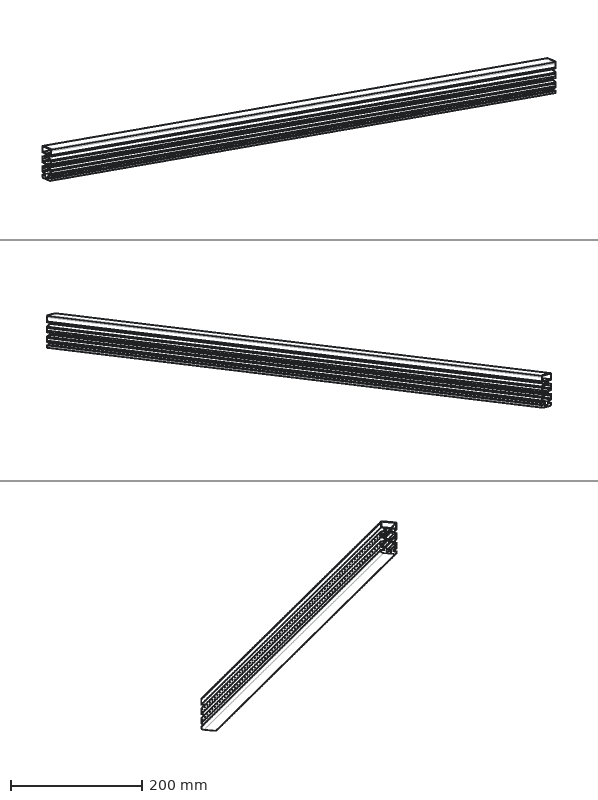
import cadquery as cq

LENGTH = 914.0
WIDTH = 26.0
HEIGHT = 51.0
HALF_WIDTH = WIDTH / 2
TOP = HEIGHT / 2
BOTTOM = -HEIGHT / 2

WALL = 1.4
NECK_WALL = 1.0
BOTTOM_WALL = 3.0
TOP_ROUND = 3.0
BOTTOM_ROUND = 4.0

GROOVE_FLOOR_X = 5.0
SHALLOW_GROOVE_FLOOR_X = 7.0
UPPER_GROOVE_TOP = 15.0
GROOVES = [
    (GROOVE_FLOOR_X, UPPER_GROOVE_TOP, 8.0, UPPER_GROOVE_TOP, 11.0),
    (GROOVE_FLOOR_X, -1.0, -7.0, -2.0, -5.5),
    (SHALLOW_GROOVE_FLOOR_X, -16.0, -21.0, -18.0, -21.0),
]

CHAMBER_HALF_WIDTH = HALF_WIDTH - WALL
NECK_HALF_WIDTH = GROOVE_FLOOR_X - NECK_WALL
POCKET_HALF_HEIGHT = 2.0
THROAT_HALF_WIDTH = 7.0
THROAT_HALF_HEIGHT = 3.0
FLARE_HALF_HEIGHT = 5.5
MIDDLE_CHAMBER_Z = 4.0
LOWER_CHAMBER_Z = -12.0
CROSS_WEB_Z = -4.1


def prism(points):
    """Extrude a closed XZ outline over the full length."""
    return cq.Workplane("XZ").polyline(points).close().extrude(LENGTH / 2, both=True)


def mirrored_prism(right_points):
    """Extrude an outline given by its right half, listed from top to bottom."""
    left_points = [(-x, z) for x, z in reversed(right_points)]
    return prism(right_points + left_points)


def outer_body():
    """Bar with rounded long edges."""
    body = cq.Workplane("XY").box(WIDTH, LENGTH, HEIGHT)
    body = body.faces(">Z").edges("|Y").fillet(TOP_ROUND)
    return body.faces("<Z").edges("|Y").fillet(BOTTOM_ROUND)


def side_groove(side, floor_distance, mouth_top, mouth_bottom, floor_top, floor_bottom):
    """One groove that narrows inward, on the side given by -1 or 1."""
    mouth_x = side * HALF_WIDTH
    floor_x = side * floor_distance
    return prism([
        (mouth_x, mouth_top),
        (floor_x, floor_top),
        (floor_x, floor_bottom),
        (mouth_x, mouth_bottom),
    ])


def star_chamber(center, top, bottom):
    """Central slot with a flared pocket reaching into each side lobe."""
    return mirrored_prism([
        (NECK_HALF_WIDTH, top),
        (NECK_HALF_WIDTH, center + FLARE_HALF_HEIGHT),
        (THROAT_HALF_WIDTH, center + THROAT_HALF_HEIGHT),
        (CHAMBER_HALF_WIDTH, center + POCKET_HALF_HEIGHT),
        (CHAMBER_HALF_WIDTH, center - POCKET_HALF_HEIGHT),
        (THROAT_HALF_WIDTH, center - THROAT_HALF_HEIGHT),
        (NECK_HALF_WIDTH, center - FLARE_HALF_HEIGHT),
        (NECK_HALF_WIDTH, bottom),
    ])


def top_chamber():
    """Rectangular hollow under the roof."""
    return mirrored_prism([
        (CHAMBER_HALF_WIDTH, TOP - WALL),
        (CHAMBER_HALF_WIDTH, UPPER_GROOVE_TOP + WALL),
    ])


def middle_chamber():
    """Hollow between the top chamber and the cross web."""
    return star_chamber(MIDDLE_CHAMBER_Z, UPPER_GROOVE_TOP, CROSS_WEB_Z + WALL / 2)


def lower_chamber():
    """Hollow between the cross web and the bottom wall."""
    return star_chamber(LOWER_CHAMBER_Z, CROSS_WEB_Z - WALL / 2, BOTTOM + BOTTOM_WALL)


result = outer_body()
for side in (-1, 1):
    for groove in GROOVES:
        result = result.cut(side_groove(side, *groove))
for chamber in (top_chamber(), middle_chamber(), lower_chamber()):
    result = result.cut(chamber)